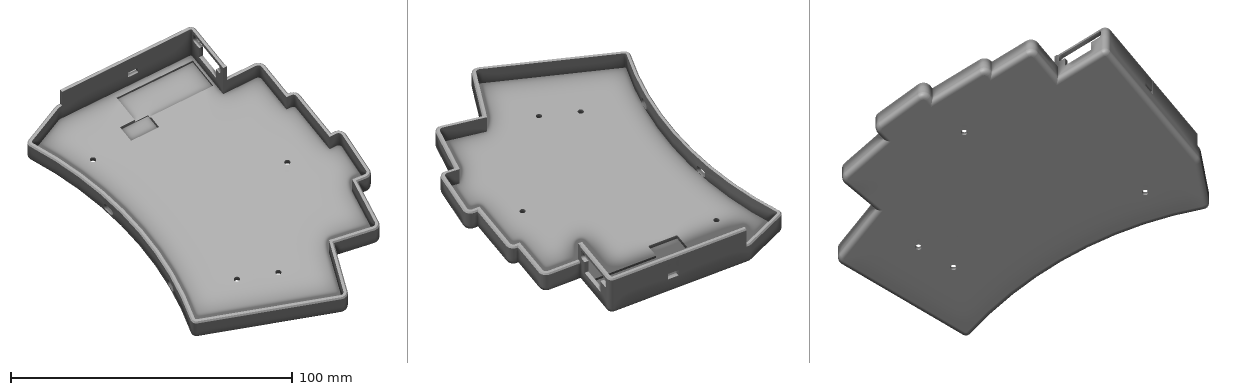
import cadquery as cq
import math

LOW_HEIGHT = 8.8
TALL_HEIGHT = 16.6
WALL = 1.5
FLOOR = 2.0
BOTTOM_ROUND = 2.0
RIM_CHAMFER = 0.5

STEP_1_TOP = 75.4
STEP_2_LEFT = 21.2
STEP_2_TOP = 90.6
STEP_3_LEFT = 39.2
STEP_3_TOP = 93.9
STEP_4_LEFT = 62.8
STEP_4_CORNER = (STEP_4_LEFT, 98.4)
STEP_4_RIGHT = (87.3, 96.3)
STEP_5_CORNER = (86.8, 90.0)
STEP_5_RIGHT = (109.3, 86.0)
STEP_6_CORNER = (106.0, 67.9)
STEP_6_RIGHT = (130.3, 59.0)
LEFT_BEND = (0, 18.0)
FRONT_LEFT_X = 9.1
FRONT_RIGHT_X = 110.7
FRONT_ARC_X = 67.9
FRONT_ARC_TOP = 11.8
FRONT_ARC_RADIUS = 145
CORNER_RADIUS = 2.2
STEP_CORNER_RADIUS = 3.0
BEND_RADIUS = 4.47

TALL_FRONT = 19.5
TALL_RIGHT = STEP_2_LEFT + WALL

HOLE_DIAMETER = 2.2
HOLE_CENTERS = [(23.6, 18.6), (61.4, 76.4), (102.4, 46.7), (97.3, 32.6)]

BATTERY_POCKET = (4.0, 17.6, 40.9, 72.9, 1.0)
PLUG_POCKET = (16.0, 23.5, 34.7, 46.5, 1.5)

PORT_HEAD_X = 11.7
PORT_HEAD_WIDTH = 18.4
PORT_HEAD_BOTTOM = 11.1
PORT_HEAD_TOP = 14.9
PORT_HEAD_RADIUS = 1.0
PORT_NECK_X = 12.4
PORT_NECK_WIDTH = 11.4
PORT_NECK_BOTTOM = 6.1

SWITCH_FRONT = 47.3
SWITCH_BACK = 51.5
SWITCH_BOTTOM = 6.7
SWITCH_TOP = 9.2
SWITCH_RECESS_DEPTH = 0.1

SLOT_XS = [47.0, 88.3]
SLOT_LENGTH = 4.9
SLOT_HEIGHT = 2.8
SLOT_Z = 3.6
SLOT_END_RADIUS = 1.2


def front_arc_y(x):
    """Y of the concave front at a given X."""
    drop = FRONT_ARC_RADIUS - math.sqrt(FRONT_ARC_RADIUS**2 - (x - FRONT_ARC_X) ** 2)
    return FRONT_ARC_TOP - drop


def box(left, right, front, back, bottom, top):
    size = (right - left, back - front, top - bottom)
    return cq.Workplane().box(*size, centered=False).translate((left, front, bottom))


def outline_prism(height):
    """Solid block with the rounded outline of the case."""
    front_left = (FRONT_LEFT_X, front_arc_y(FRONT_LEFT_X))
    front_right = (FRONT_RIGHT_X, front_arc_y(FRONT_RIGHT_X))
    corner_radii = [
        (LEFT_BEND, BEND_RADIUS),
        ((0, STEP_1_TOP), CORNER_RADIUS),
        ((STEP_2_LEFT, STEP_2_TOP), STEP_CORNER_RADIUS),
        ((STEP_3_LEFT, STEP_3_TOP), STEP_CORNER_RADIUS),
        (STEP_4_CORNER, STEP_CORNER_RADIUS),
        (STEP_4_RIGHT, STEP_CORNER_RADIUS),
        (STEP_5_RIGHT, STEP_CORNER_RADIUS),
        (STEP_6_RIGHT, STEP_CORNER_RADIUS),
        (front_right, CORNER_RADIUS),
        (front_left, CORNER_RADIUS),
    ]
    vertices = [
        LEFT_BEND, (0, STEP_1_TOP), (STEP_2_LEFT, STEP_1_TOP),
        (STEP_2_LEFT, STEP_2_TOP), (STEP_3_LEFT, STEP_2_TOP),
        (STEP_3_LEFT, STEP_3_TOP), (STEP_4_LEFT, STEP_3_TOP),
        STEP_4_CORNER, STEP_4_RIGHT, STEP_5_CORNER, STEP_5_RIGHT,
        STEP_6_CORNER, STEP_6_RIGHT, front_right,
    ]
    prism = (
        cq.Workplane().polyline(vertices)
        .threePointArc((FRONT_ARC_X, FRONT_ARC_TOP), front_left)
        .close().extrude(height)
    )

    for corner, radius in corner_radii:
        middle = (corner[0], corner[1], height / 2)
        edge = prism.edges("|Z").edges(cq.NearestToPointSelector(middle))
        prism = edge.fillet(radius)
    return prism


def outer_block():
    """Low case body plus the raised corner, with rims and underside softened."""
    low = outline_prism(LOW_HEIGHT).faces("<Z").edges().fillet(BOTTOM_ROUND)
    low = low.faces(">Z").edges().chamfer(RIM_CHAMFER)
    corner_zone = box(0, TALL_RIGHT, TALL_FRONT, STEP_1_TOP, BOTTOM_ROUND, TALL_HEIGHT)
    tall = outline_prism(TALL_HEIGHT).faces(">Z").edges().chamfer(RIM_CHAMFER)
    return low.union(tall.intersect(corner_zone))


def cavity():
    outline = outline_prism(TALL_HEIGHT).faces("<Z").wires().toPending()
    inner = outline.workplane(invert=True).offset2D(-WALL, "intersection")
    return inner.extrude(TALL_HEIGHT, combine=False).translate((0, 0, FLOOR))


def floor_pocket(left, right, front, back, depth):
    return box(left, right, front, back, FLOOR - depth, FLOOR + depth)


def port_opening():
    front = STEP_1_TOP - 1.5 * WALL
    back = STEP_1_TOP + WALL
    half_head = PORT_HEAD_WIDTH / 2
    half_neck = PORT_NECK_WIDTH / 2
    head = box(
        PORT_HEAD_X - half_head, PORT_HEAD_X + half_head, front, back,
        PORT_HEAD_BOTTOM, PORT_HEAD_TOP,
    )
    head = head.edges("|Y").fillet(PORT_HEAD_RADIUS)
    neck = box(
        PORT_NECK_X - half_neck, PORT_NECK_X + half_neck, front, back,
        PORT_NECK_BOTTOM, PORT_HEAD_TOP,
    )
    return head.union(neck)


def switch_opening():
    window = box(-WALL, 1.5 * WALL, SWITCH_FRONT, SWITCH_BACK, SWITCH_BOTTOM, SWITCH_TOP)
    recess = box(
        -WALL, SWITCH_RECESS_DEPTH, SWITCH_FRONT, SWITCH_BACK,
        SWITCH_TOP, TALL_HEIGHT - RIM_CHAMFER,
    )
    return window.union(recess)


def front_slot(x):
    reach = 2 * WALL
    y = front_arc_y(x)
    slot = box(
        x - SLOT_LENGTH / 2, x + SLOT_LENGTH / 2, y - reach, y + reach,
        SLOT_Z - SLOT_HEIGHT / 2, SLOT_Z + SLOT_HEIGHT / 2,
    )
    return slot.edges("|Y").fillet(SLOT_END_RADIUS)


holes = cq.Workplane().pushPoints(HOLE_CENTERS).circle(HOLE_DIAMETER / 2).extrude(LOW_HEIGHT)

result = outer_block().cut(cavity()).cut(holes)
result = result.cut(floor_pocket(*BATTERY_POCKET)).cut(floor_pocket(*PLUG_POCKET))
result = result.cut(port_opening()).cut(switch_opening())
for slot_x in SLOT_XS:
    result = result.cut(front_slot(slot_x))